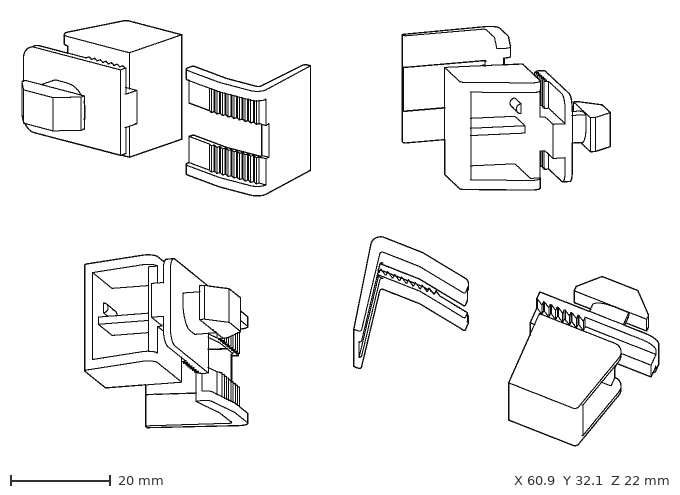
import cadquery as cq
import math


def prism(outline, half_width):
    """Extrude a closed XY wire workplane symmetrically about Z = 0."""
    return outline.extrude(half_width, both=True)


def polygon_prism(points, half_width):
    return prism(cq.Workplane("XY").polyline(points).close(), half_width)


def slab(x_min, x_max, y_min, y_max, half_width):
    corners = [(x_min, y_min), (x_max, y_min), (x_max, y_max), (x_min, y_max)]
    return polygon_prism(corners, half_width)


def nearest(x, y):
    """Selector for the edge centred closest to (x, y) at mid height."""
    return cq.selectors.NearestToPointSelector((x, y, 0))


def tangent(degrees):
    return math.tan(math.radians(degrees))


outer_half_width = 11.0
inner_half_width = 9.0
web_half_width = 3.5
floor_y = 5.0
tooth_pitch = 1.5
tooth_flat = 0.25
tooth_height = 0.8
cut_margin = 1.0

plate_length = 25.9
plate_thickness = 1.5
plate_corner_radius = 3.0
plate_tooth_count = 7
plate_tooth_base = plate_thickness + 0.15
web_front_top = 4.0
fine_radius = 0.2

housing_right = plate_length - 2.0
housing_top = 21.0
housing_wall = 2.0
housing_lean = 15.0
housing_corner_radius = 2.0
housing_corner_x = 7.45
housing_tip_radius = 1.0
rib_left = 12.5
rib_half_thickness = 0.75
bead_diameter = 2.0
bead_left = 16.0
bead_z = 3.5

head_centre_x = 12.5
head_length = 15.8
head_height = 5.0
head_chamfer = 4.0
head_half_width = 3.5
stem_length = 4.7
stem_width = 8.0
stem_height = 6.6
stem_radius = 4.75

arm_thickness = 3.0
arm_left = 39.3
arm_tilt = 10.0
arm_bend_top_x = 49.9
arm_bend_bottom_x = 50.5
arm_end_radius = 1.5
arm_end_top_radius = 0.3
heel_radius = 2.0
heel_x = 58.85
upright_top = 22.45
upright_outer_lean = 12.0
upright_inner_lean = 10.0
upright_foot_x = 58.45
upright_foot_radius = 0.5
upright_tip_radius = 0.5
recess_half_width = 4.5
recess_depth_x = 0.45
clip_tooth_count = 9
clip_tooth_tip = 3.63
clip_teeth_left = 45.8
clip_first_tip_x = 46.95
slot_end_y = 5.4


def make_plate():
    plate = slab(0, plate_length, 0, plate_thickness, inner_half_width)
    plate = plate.edges("|Y and <X").fillet(plate_corner_radius)
    teeth_left = plate_length - plate_tooth_count * tooth_pitch
    points = [(teeth_left, 0)]
    for index in range(plate_tooth_count):
        left = teeth_left + index * tooth_pitch
        right = left + tooth_pitch
        points.append((left, plate_tooth_base + tooth_height))
        points.append((right - tooth_flat, plate_tooth_base))
        points.append((right, plate_tooth_base))
    points.append((plate_length, 0))
    return plate.union(polygon_prism(points, inner_half_width))


def make_web():
    low = slab(0, plate_length, 0, web_front_top, web_half_width)
    high = slab(housing_corner_x, plate_length, 0, floor_y, web_half_width)
    web = low.union(high)
    return web.edges(nearest(housing_corner_x, web_front_top)).fillet(fine_radius)


def make_housing():
    lean = tangent(housing_lean)
    lean_angle = math.radians(housing_lean)
    tangent_x = housing_corner_x - housing_corner_radius * math.cos(lean_angle)
    tangent_y = floor_y + housing_corner_radius * (1 + math.sin(lean_angle))
    side_bottom = tangent_x - (tangent_y - floor_y) * lean
    side_top = tangent_x + (housing_top - tangent_y) * lean
    corners = [
        (side_bottom, floor_y),
        (housing_right, floor_y),
        (housing_right, housing_top),
        (side_top, housing_top),
    ]
    housing = polygon_prism(corners, outer_half_width)
    housing = housing.edges("|Z and <X").fillet(housing_corner_radius)
    housing = housing.edges(nearest(side_top, housing_top))
    housing = housing.fillet(housing_tip_radius)

    cavity_bottom = floor_y + housing_wall
    cavity_top = housing_top - housing_wall
    cavity_right = housing_right - housing_wall
    cavity = slab(0, cavity_right, cavity_bottom, cavity_top, inner_half_width)
    housing = housing.cut(cavity.edges("|Z and >X").fillet(fine_radius))
    housing = housing.cut(slab(0, housing_corner_x, floor_y, cavity_bottom, inner_half_width))
    housing = housing.edges(nearest(housing_corner_x, cavity_bottom)).fillet(fine_radius)
    rib = slab(rib_left, housing_right, floor_y, housing_top, rib_half_thickness)
    housing = housing.union(rib)
    for bead_y in (cavity_bottom, cavity_top):
        bead = cq.Workplane("YZ", origin=(bead_left, bead_y, bead_z)).circle(bead_diameter / 2)
        housing = housing.union(bead.extrude(housing_right - bead_left))
    return housing


def make_head():
    half_length = head_length / 2
    head_back = -stem_length
    head_front = head_back - head_height
    flat_half = half_length - head_chamfer
    points = [
        (head_centre_x - half_length, head_back),
        (head_centre_x + half_length, head_back),
        (head_centre_x + half_length, head_front + head_chamfer),
        (head_centre_x + flat_half, head_front),
        (head_centre_x - flat_half, head_front),
        (head_centre_x - half_length, head_front + head_chamfer),
    ]
    return polygon_prism(points, head_half_width)


def make_stem():
    """Block with two opposite rounded corners, so that it turns one way only."""
    stem = cq.Workplane("XY").box(stem_width, stem_length, stem_height)
    upper_right = stem.edges("|Y and >X and >Z")
    lower_left = stem.edges("|Y and <X and <Z")
    stem = upper_right.add(lower_left).fillet(stem_radius)
    return stem.translate((head_centre_x, -stem_length / 2, 0))


def make_latch():
    latch = make_plate().union(make_web()).union(make_housing())
    return latch.union(make_stem()).union(make_head())


def upright_inner_x(y):
    return upright_foot_x - (y - floor_y) * tangent(upright_inner_lean)


def make_clip_blank():
    arm_bottom = floor_y - arm_thickness
    outer_angle = math.radians(upright_outer_lean)
    heel_y = arm_bottom + heel_radius
    heel_end_x = heel_x + heel_radius * math.cos(outer_angle)
    heel_end_y = heel_y + heel_radius * math.sin(outer_angle)
    outer_lean = tangent(upright_outer_lean)
    outer_bottom = heel_end_x + (heel_end_y - arm_bottom) * outer_lean
    outer_top = heel_end_x - (upright_top - heel_end_y) * outer_lean
    tilt = tangent(arm_tilt)
    end_bottom = (arm_left, arm_bottom + (arm_bend_bottom_x - arm_left) * tilt)
    end_top = (arm_left, floor_y + (arm_bend_top_x - arm_left) * tilt)
    heel = (outer_bottom, arm_bottom)
    foot = (upright_foot_x, floor_y)
    tip = (upright_inner_x(upright_top), upright_top)
    points = [
        end_bottom,
        (arm_bend_bottom_x, arm_bottom),
        heel,
        (outer_top, upright_top),
        tip,
        foot,
        (arm_bend_top_x, floor_y),
        end_top,
    ]
    blank = polygon_prism(points, outer_half_width)
    rounds = [
        (end_bottom, arm_end_radius),
        (end_top, arm_end_top_radius),
        (heel, heel_radius),
        (foot, upright_foot_radius),
        (tip, upright_tip_radius),
    ]
    for (x, y), radius in rounds:
        blank = blank.edges("|Z").edges(nearest(x, y)).fillet(radius)
    return blank


def make_tooth_relief():
    """Space below the toothed underside of the arm, between the two rails."""
    left = arm_left - cut_margin
    right = heel_x + heel_radius + cut_margin
    tooth_slope = tooth_height / (tooth_pitch - tooth_flat)
    first_foot_y = clip_tooth_tip + (clip_first_tip_x - clip_teeth_left) * tooth_slope
    points = [
        (left, 0),
        (left, first_foot_y + (clip_teeth_left - left) * tangent(arm_tilt)),
        (clip_teeth_left, first_foot_y),
    ]
    root_y = clip_tooth_tip + tooth_height
    for index in range(clip_tooth_count):
        tip_x = clip_first_tip_x + index * tooth_pitch
        if index > 0:
            points.append((tip_x - tooth_pitch + tooth_flat, root_y))
        points.append((tip_x, clip_tooth_tip))
        points.append((tip_x, root_y))
    points.append((right, root_y))
    points.append((right, 0))
    return polygon_prism(points, inner_half_width)


def recess_face_x(y):
    return upright_inner_x(y) + recess_depth_x


def make_upright_recess():
    top = upright_top + cut_margin
    points = [
        (upright_inner_x(floor_y) - cut_margin, floor_y),
        (recess_face_x(floor_y), floor_y),
        (recess_face_x(top), top),
        (upright_inner_x(top) - cut_margin, top),
    ]
    return polygon_prism(points, recess_half_width)


def make_arm_slot():
    """Slot for the web; its end is square to the inner face of the upright."""
    left = arm_left - cut_margin
    right = heel_x + heel_radius + cut_margin
    top = floor_y + arm_thickness
    end_x = recess_face_x(slot_end_y)
    points = [
        (left, 0),
        (right, 0),
        (right, slot_end_y + (right - end_x) * tangent(upright_inner_lean)),
        (end_x, slot_end_y),
        (recess_face_x(top), top),
        (left, top),
    ]
    return polygon_prism(points, web_half_width)


def make_clip():
    clip = make_clip_blank()
    clip = clip.cut(make_tooth_relief())
    clip = clip.cut(make_upright_recess())
    return clip.cut(make_arm_slot())


latch = make_latch()
clip = make_clip()

result = cq.Compound.makeCompound([latch.val(), clip.val()])